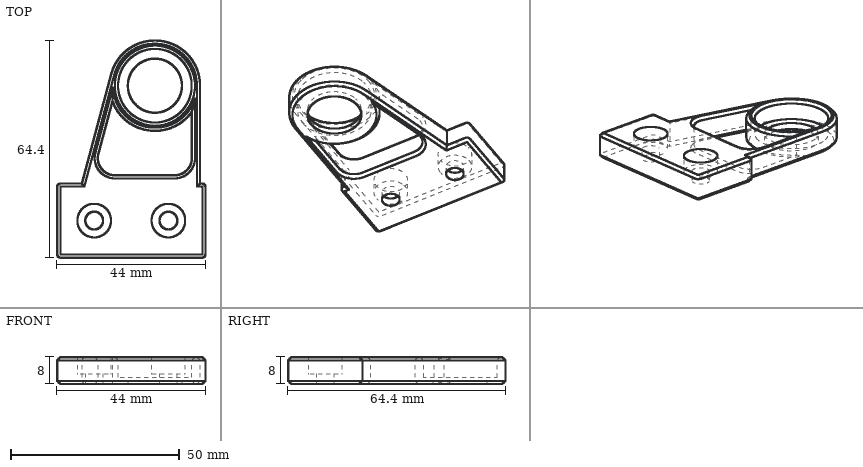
import cadquery as cq
import math

base_width = 44.0
base_depth = 22.0
thickness = 8.0
total_depth = 64.4
edge_chamfer = 0.95
corner_radius = 1.0

screw_diameter = 5.2
counterbore_diameter = 10.0
counterbore_depth = 5.0

wall = 2.5
seat_diameter = 21.85
bore_diameter = 16.0
seat_depth = 6.0
ring_radius = seat_diameter / 2 + wall
ring_x = 29.0
ring_y = total_depth - ring_radius

lean = math.radians(15)
arm_overlap = 5.8
arm_root_y = base_depth - arm_overlap
window_bottom = 24.5
window_corner_radius = 5.0


def left_line_x(radius, y):
    """X at position y on the leaning line tangent to a circle about the ring axis."""
    return ring_x - radius / math.cos(lean) + (y - ring_y) * math.tan(lean)


def make_base():
    block = cq.Workplane("XY").box(base_width, base_depth, thickness, centered=False)
    block = block.edges("|Z").fillet(corner_radius)
    return block.faces("<Z or >Z").edges().chamfer(edge_chamfer)


def make_arm_plate():
    tangent_x = ring_x - ring_radius * math.cos(lean)
    tangent_y = ring_y + ring_radius * math.sin(lean)
    right_x = ring_x + ring_radius
    plate = (
        cq.Workplane("XY")
        .moveTo(left_line_x(ring_radius, arm_root_y), arm_root_y)
        .lineTo(right_x, arm_root_y)
        .lineTo(right_x, ring_y)
        .threePointArc((ring_x, total_depth), (tangent_x, tangent_y))
        .close()
        .extrude(thickness)
    )
    return plate.faces("<Z or >Z").edges().chamfer(edge_chamfer)


def window_outline(growth):
    """Closed wire of the window, widened by growth on each side."""
    inner_radius = ring_radius - wall + growth
    bottom_y = window_bottom - growth
    right_x = ring_x + inner_radius
    corners = [
        (left_line_x(inner_radius, bottom_y), bottom_y),
        (right_x, bottom_y),
        (right_x, ring_y),
        (left_line_x(inner_radius, ring_y), ring_y),
    ]
    wire = cq.Workplane("XY").polyline(corners).close().val()
    lower_corners = [v for v in wire.Vertices() if v.Y < ring_y - edge_chamfer]
    return wire.fillet2D(window_corner_radius + growth, lower_corners)


def make_window_cutter():
    """Through window with a flared, chamfer-shaped rim at both faces."""
    opening = window_outline(0)
    wide_opening = window_outline(edge_chamfer)
    shaft = cq.Workplane(opening).toPending().extrude(thickness)
    inner_wire = opening.translate(cq.Vector(0, 0, edge_chamfer))
    bottom_rim = cq.Workplane(cq.Solid.makeLoft([wide_opening, inner_wire], True))
    top_rim = bottom_rim.mirror("XY").translate((0, 0, thickness))
    return shaft.union(bottom_rim).union(top_rim)


def make_ring_disc():
    disc = cq.Workplane("XY").center(ring_x, ring_y).circle(ring_radius).extrude(thickness)
    return disc.faces("<Z or >Z").edges().chamfer(edge_chamfer)


def cut_ring_seat(body):
    body = (
        body.faces(">Z")
        .workplane(origin=(ring_x, ring_y, thickness))
        .cboreHole(bore_diameter, seat_diameter, seat_depth)
    )
    seat_radius = seat_diameter / 2
    rim_cone = cq.Solid.makeCone(
        seat_radius,
        seat_radius + edge_chamfer,
        edge_chamfer,
        pnt=cq.Vector(ring_x, ring_y, thickness - edge_chamfer),
    )
    return body.cut(cq.Workplane(rim_cone))


def cut_screw_holes(body):
    hole_y = base_depth / 2
    hole_spacing = base_width / 2
    return (
        body.faces(">Z")
        .workplane(origin=(base_width / 2, hole_y, thickness))
        .pushPoints([(-hole_spacing / 2, 0), (hole_spacing / 2, 0)])
        .cboreHole(screw_diameter, counterbore_diameter, counterbore_depth)
    )


frame = make_base().union(make_arm_plate()).cut(make_window_cutter())
result = cut_screw_holes(cut_ring_seat(frame.union(make_ring_disc())))